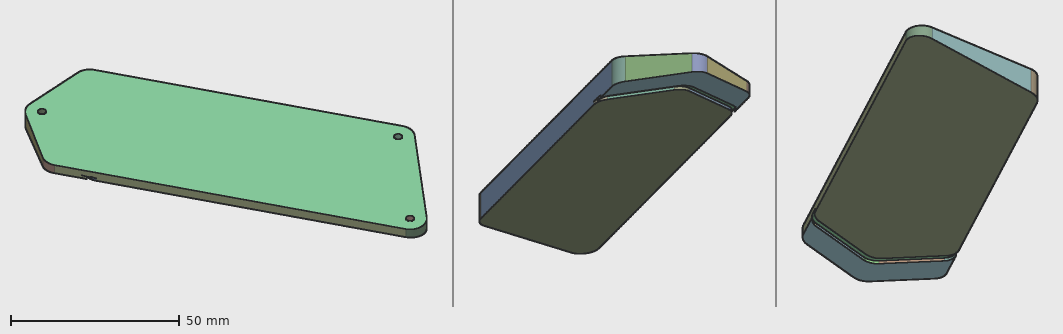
import cadquery as cq
import math

length = 128.1
width = 44.5
thickness_back = 8.7
underside_angle = math.radians(7.0)
thickness_front = thickness_back - width * math.tan(underside_angle)

corner_radius = 5.0
nose_half_angle = 60.0
right_edge_run = 13.2

hole_diameter = 2.4
hole_depth = 2.0
drill_tip_angle = 118.0

groove_start = 10.0
groove_width = 3.0
groove_depth = 1.0

front_y = corner_radius
back_y = width - corner_radius
middle_y = width / 2
nose_run = (back_y - middle_y) / math.tan(math.radians(nose_half_angle))
nose_center = (corner_radius, middle_y)
front_left_center = (corner_radius + nose_run, front_y)
back_left_center = (corner_radius + nose_run, back_y)
front_right_center = (length - corner_radius, front_y)
back_right_center = (length - corner_radius - right_edge_run, back_y)


def outline_prism(shift=0.0):
    """Full-height block with the plate outline, moved along +X by shift."""
    corner_centers = [
        nose_center,
        front_left_center,
        front_right_center,
        back_right_center,
        back_left_center,
    ]
    return (
        cq.Workplane("XY")
        .polyline(corner_centers)
        .close()
        .offset2D(corner_radius, "arc")
        .extrude(-thickness_back)
        .translate((shift, 0, 0))
    )


def wedge(raise_underside=0.0):
    """Wedge between the top plane and the sloping underside, over the whole length."""
    profile = [
        (0, 0),
        (width, 0),
        (width, raise_underside - thickness_back),
        (0, raise_underside - thickness_front),
    ]
    return cq.Workplane("YZ").polyline(profile).close().extrude(length)


def chevron_groove():
    """Band between two shifted copies of the outline, sunk groove_depth into the underside."""
    band = outline_prism(groove_start).cut(outline_prism(groove_start + groove_width))
    left_part = cq.Workplane("XY").box(length / 2, width, thickness_back, centered=False)
    left_part = left_part.translate((0, 0, -thickness_back))
    vertical_depth = groove_depth / math.cos(underside_angle)
    return band.intersect(left_part).cut(wedge(vertical_depth))


def drilled_hole(center):
    """Blind hole from the top face with a conical drill tip."""
    radius = hole_diameter / 2
    tip_height = radius / math.tan(math.radians(drill_tip_angle / 2))
    profile = [
        (0, 0),
        (radius, 0),
        (radius, -hole_depth),
        (0, -hole_depth - tip_height),
    ]
    hole = cq.Workplane("XZ").polyline(profile).close().revolve(360, (0, 0, 0), (0, 1, 0))
    return hole.translate((center[0], center[1], 0))


plate = outline_prism().intersect(wedge())
plate = plate.cut(chevron_groove())
for hole_center in (nose_center, front_right_center, back_right_center):
    plate = plate.cut(drilled_hole(hole_center))

result = plate